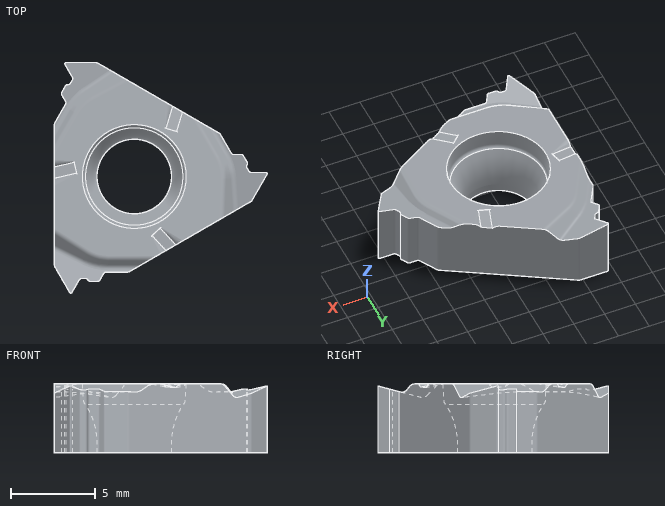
import cadquery as cq
import math


CORNERS = 3
TURN = 360 / CORNERS
HEIGHT = 4.1
INRADIUS = 4.75
REACH = 9.58

TIP_X = -3.76
TIP_Y = -7.0
TIP_RADIUS = 0.08
ROOT_Y = -6.05
LEDGE_END_X = -2.8
CREST_Y = -6.22
SHOULDER_X = -1.76
SHOULDER_Y = -5.68
STEP_RADIUS = 0.15
SIDE_RADIUS = 0.29
FLANK_SLOPE = math.tan(math.radians(60))

RAKE_ANGLE = 15
TIP_Z = 3.98
WALL_SLOPE = 50
WALL_CORNER_X = -2.2
WALL_CORNER_Y = -4.91
WALL_TURN = 32
WALL_CORNER_RADIUS = 2.38
RIM_RADIUS = 0.41
FOOT_RADIUS = 0.34
FRONT_Y = -7.25
WALL_BASE_Z = 1.64

HOLE_RADIUS = 4.4 / 2
THROAT_Z = 0.52
SEAT_FLARE_RADIUS = 4.38
SEAT_RIM_RADIUS = 2.89
RECESS_FLOOR_RADIUS = 3.01
RECESS_FLOOR_Z = 3.09
RECESS_TOP_RADIUS = 3.08

NOTCH_INNER_X = -3.49
NOTCH_INNER_Y = 0.52
NOTCH_FLOOR_WIDTH = 0.65
NOTCH_TURN = 13
NOTCH_FLOOR_SLOPE = 8
NOTCH_INNER_DEPTH = 0.03
NOTCH_LENGTH = 1.92
NOTCH_WALL_SLOPE = 40
NOTCH_LIP_RATIO = 2.2
NOTCH_CLEARANCE = 0.14


def rotated(point, degrees):
    """Turn a plan point about the hole axis."""
    angle = math.radians(degrees)
    x, y = point
    return (
        x * math.cos(angle) - y * math.sin(angle),
        x * math.sin(angle) + y * math.cos(angle),
    )


def rounded_outline(corners):
    """Closed outline with an arc at each corner, given as (point, radius)."""
    arcs = []
    for i, (point, radius) in enumerate(corners):
        corner = cq.Vector(*point)
        to_previous = (cq.Vector(*corners[i - 1][0]) - corner).normalized()
        to_next = (cq.Vector(*corners[(i + 1) % len(corners)][0]) - corner).normalized()
        half_angle = to_previous.getAngle(to_next) / 2
        setback = radius / math.tan(half_angle)
        to_middle = radius / math.sin(half_angle) - radius
        bisector = (to_previous + to_next).normalized()
        arcs.append((
            corner + to_previous * setback,
            corner + bisector * to_middle,
            corner + to_next * setback,
        ))
    outline = cq.Workplane("XY").moveTo(*arcs[-1][2].toTuple()[:2])
    for start, middle, end in arcs:
        outline = outline.lineTo(start.x, start.y)
        outline = outline.threePointArc((middle.x, middle.y), (end.x, end.y))
    return outline.close()


def make_prism():
    """Full-height insert with its tooth profile at every corner."""
    side_start = (-INRADIUS, TIP_Y + (TIP_X + INRADIUS) * FLANK_SLOPE)
    root_x = TIP_X + (ROOT_Y - TIP_Y) / FLANK_SLOPE
    crest_start_x = LEDGE_END_X + (ROOT_Y - CREST_Y) / FLANK_SLOPE
    crest_end_x = SHOULDER_X - (SHOULDER_Y - CREST_Y) / FLANK_SLOPE
    side_end_x = 2 * INRADIUS + SHOULDER_Y * FLANK_SLOPE
    corner_profile = [
        (side_start, SIDE_RADIUS),
        ((TIP_X, TIP_Y), TIP_RADIUS),
        ((root_x, ROOT_Y), STEP_RADIUS),
        ((LEDGE_END_X, ROOT_Y), STEP_RADIUS),
        ((crest_start_x, CREST_Y), STEP_RADIUS),
        ((crest_end_x, CREST_Y), STEP_RADIUS),
        ((SHOULDER_X, SHOULDER_Y), STEP_RADIUS),
        ((side_end_x, SHOULDER_Y), SIDE_RADIUS),
    ]
    corners = [
        (rotated(point, TURN * i), radius)
        for i in range(CORNERS)
        for point, radius in corner_profile
    ]
    return rounded_outline(corners).extrude(HEIGHT)


def make_chip_breaker_blank():
    """Oversized block whose top has the rake face and wall of the lower corner."""
    rake_slope = math.tan(math.radians(RAKE_ANGLE))
    tip_y = TIP_Y + TIP_RADIUS
    rake_base = (
        cq.Workplane("YZ")
        .moveTo(FRONT_Y, 0)
        .lineTo(FRONT_Y, TIP_Z + (tip_y - FRONT_Y) * rake_slope)
        .lineTo(0, TIP_Z + tip_y * rake_slope)
        .lineTo(REACH, TIP_Z + tip_y * rake_slope)
        .lineTo(REACH, 0)
        .close()
        .extrude(REACH, both=True)
    )

    turn = math.radians(WALL_TURN)
    setback = WALL_CORNER_RADIUS * math.tan(turn / 2)
    far_left_y = WALL_CORNER_Y + (WALL_CORNER_X + REACH) * math.tan(turn)
    raised_centre = (
        cq.Workplane("XY", origin=(0, 0, HEIGHT))
        .moveTo(-REACH, far_left_y)
        .lineTo(WALL_CORNER_X - setback * math.cos(turn), WALL_CORNER_Y + setback * math.sin(turn))
        .tangentArcPoint((WALL_CORNER_X + setback, WALL_CORNER_Y), relative=False)
        .lineTo(REACH, WALL_CORNER_Y)
        .lineTo(REACH, REACH)
        .lineTo(-REACH, REACH)
        .close()
        .extrude(WALL_BASE_Z - HEIGHT, taper=WALL_SLOPE - 90)
    )
    block = rake_base.union(raised_centre)

    rake_normal = cq.Vector(0, math.sin(math.radians(RAKE_ANGLE)), math.cos(math.radians(RAKE_ANGLE)))
    wall_edges = cq.selectors.BoxSelector((-REACH, TIP_Y, 0), (REACH / 2, 0, 2 * HEIGHT))
    block = block.faces(cq.selectors.ParallelDirSelector(rake_normal)).edges(wall_edges).fillet(FOOT_RADIUS)
    return block.faces(">Z").edges(wall_edges).fillet(RIM_RADIUS)


def make_hole():
    """Plain bore flaring through a rounded screw seat into a tapered recess."""
    flare_centre_x = HOLE_RADIUS + SEAT_FLARE_RADIUS
    end_angle = math.acos((flare_centre_x - SEAT_RIM_RADIUS) / SEAT_FLARE_RADIUS)

    def flare_point(angle):
        return (
            flare_centre_x - SEAT_FLARE_RADIUS * math.cos(angle),
            THROAT_Z + SEAT_FLARE_RADIUS * math.sin(angle),
        )

    return (
        cq.Workplane("XZ")
        .lineTo(0, HEIGHT)
        .lineTo(RECESS_TOP_RADIUS, HEIGHT)
        .lineTo(RECESS_FLOOR_RADIUS, RECESS_FLOOR_Z)
        .tangentArcPoint(flare_point(end_angle), relative=False)
        .threePointArc(flare_point(end_angle / 2), (HOLE_RADIUS, THROAT_Z))
        .lineTo(HOLE_RADIUS, 0)
        .lineTo(0, 0)
        .close()
        .revolve(360, (0, 0, 0), (0, 1, 0))
    )


def notch_section(distance):
    """Cross-section of the notch cutter at a distance from its inner end."""
    slope = math.radians(NOTCH_WALL_SLOPE)
    depth = NOTCH_INNER_DEPTH + distance * math.tan(math.radians(NOTCH_FLOOR_SLOPE))
    lip_radius = NOTCH_LIP_RATIO * depth
    wall_top_z = -lip_radius * (1 - math.cos(slope))
    floor_end_x = NOTCH_FLOOR_WIDTH / 2
    wall_top_x = floor_end_x + (depth + wall_top_z) / math.tan(slope)
    lip_end_x = wall_top_x + lip_radius * math.sin(slope)
    lip_middle_x = lip_end_x - lip_radius * math.sin(slope / 2)
    lip_middle_z = -lip_radius * (1 - math.cos(slope / 2))
    return (
        cq.Workplane("YZ", origin=(-distance, 0, 0))
        .moveTo(floor_end_x, -depth)
        .lineTo(wall_top_x, wall_top_z)
        .threePointArc((lip_middle_x, lip_middle_z), (lip_end_x, 0))
        .lineTo(lip_end_x, NOTCH_CLEARANCE)
        .lineTo(-lip_end_x, NOTCH_CLEARANCE)
        .lineTo(-lip_end_x, 0)
        .threePointArc((-lip_middle_x, lip_middle_z), (-wall_top_x, wall_top_z))
        .lineTo(-floor_end_x, -depth)
        .close()
        .val()
    )


def make_notch():
    """Cutter for the left side: sloping flat floor, flared walls and rounded lips."""
    cutter = cq.Solid.makeLoft([notch_section(0), notch_section(NOTCH_LENGTH)], True)
    return (
        cq.Workplane(cutter)
        .rotate((0, 0, 0), (0, 0, 1), NOTCH_TURN)
        .translate((NOTCH_INNER_X, NOTCH_INNER_Y, HEIGHT))
    )


blank = make_chip_breaker_blank()
notch = make_notch()
result = make_prism()
for i in range(CORNERS):
    result = result.intersect(blank.rotate((0, 0, 0), (0, 0, 1), TURN * i))
    result = result.cut(notch.rotate((0, 0, 0), (0, 0, 1), TURN * i))
result = result.cut(make_hole())